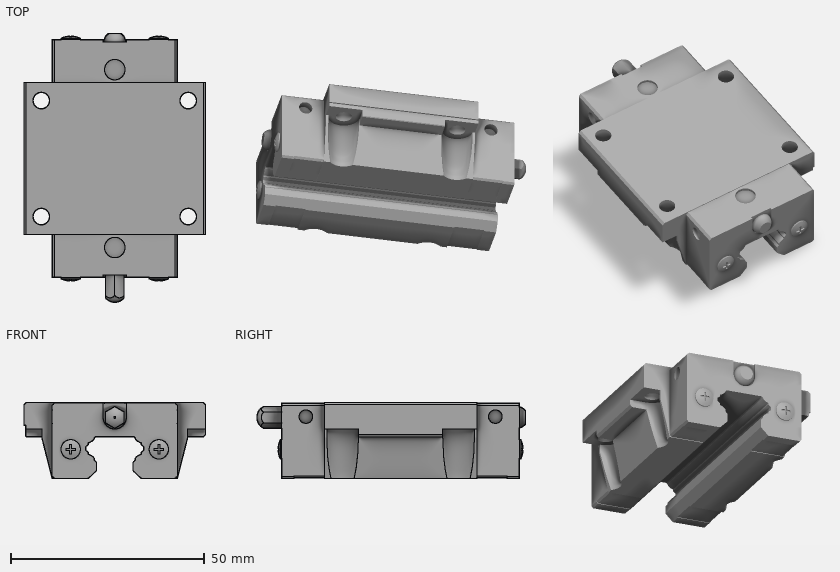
import cadquery as cq
import math


block_height = 19.7
block_length = 39.4
flange_half_width = 23.5
flange_bottom = 10.75
flange_chamfer = 0.6
reference_edge_bottom = 13.75
reference_relief = 0.42
relief_chamfer = 0.2
wall_half_width = 18.86
wall_taper_top = 10.5
base_half_width = 16.2

hole_x = 19.0
hole_y = 15.0
hole_diameter = 4.2
spotface_radius = 4.1
spotface_height = 12.75

slot_top = flange_bottom
slot_mid_height = 7.75
slot_top_corner = 0.25
neck_half_width = 4.7
neck_bottom = 2.05
neck_top = 4.15
mouth_half_width = 6.8
lip_half_width = 5.25
lip_offset = 2.55
bead_mid_half_width = 6.05
bead_mid_offset = 1.8
bead_end_half_width = 6.8
bead_end_offset = 1.45
groove_half_width = 7.5
groove_offset = 0.45
groove_edge_offset = 1.0
lip_bottom = 4.7

cap_length = 7.85
cap_bottom = 0.15
cap_top = 19.5
cap_top_chamfer = 0.6
cap_bottom_chamfer = 0.5
plate_thickness = 3.2
block_end = block_length / 2
cap_end = block_end + cap_length
plate_end = cap_end + plate_thickness

port_y = 23.0
port_diameter = 5.3
port_depth = 0.7
side_port_y = 24.5
side_port_z = 16.0
side_port_diameter = 3.5
side_port_depth = 2.2

recess_radius = 3.0
recess_depth = 0.6
fitting_z = 15.8
recess_floor = plate_end - recess_depth

nipple_across_flats = 4.9
nipple_sides = 6
nipple_half_side_angle = 180 / nipple_sides
nipple_tip = 37.2
nipple_dome_radius = 3.12
nipple_bore_diameter = 0.5
nipple_bore_depth = 1.0
plug_radius = 2.8
plug_tip = 32.36

screw_x = 11.4
screw_z = 7.55
screw_radius = 2.5
screw_rim = 0.35
screw_head_height = 0.95
screw_slot_length = 2.5
screw_slot_width = 0.5
screw_slot_depth = 0.5


def extrude_along_y(outline, y_start, y_end):
    """Extrude a closed XZ outline from y_start to y_end."""
    return outline.extrude(y_start - y_end).translate((0, y_start, 0))


def revolve_about_y(half_outline):
    """Revolve an outline of (radius, Y) points about the Y axis."""
    return half_outline.close().revolve(360, (0, 0, 0), (0, 1, 0))


def make_block():
    """Flanged block with tapered side walls and its four mounting holes."""
    relieved_x = -flange_half_width + reference_relief
    outline = (
        cq.Workplane("XZ")
        .moveTo(-base_half_width, 0)
        .lineTo(base_half_width, 0)
        .lineTo(wall_half_width, wall_taper_top)
        .lineTo(wall_half_width, flange_bottom)
        .lineTo(flange_half_width - flange_chamfer, flange_bottom)
        .lineTo(flange_half_width, flange_bottom + flange_chamfer)
        .lineTo(flange_half_width, block_height - flange_chamfer)
        .lineTo(flange_half_width - flange_chamfer, block_height)
        .lineTo(-flange_half_width + flange_chamfer, block_height)
        .lineTo(-flange_half_width, block_height - flange_chamfer)
        .lineTo(-flange_half_width, reference_edge_bottom)
        .lineTo(relieved_x, reference_edge_bottom)
        .lineTo(relieved_x, flange_bottom + relief_chamfer)
        .lineTo(relieved_x + relief_chamfer, flange_bottom)
        .lineTo(-wall_half_width, flange_bottom)
        .lineTo(-wall_half_width, wall_taper_top)
        .close()
    )
    block = extrude_along_y(outline, -block_end, block_end)
    for x_side in (-1, 1):
        for y_side in (-1, 1):
            block = block.cut(mounting_hole_tool(x_side, y_side))
    return block


def mounting_hole_tool(x_side, y_side):
    """Through hole, spotface below it, and the flange relief running out to the block end."""
    x = x_side * hole_x
    y = y_side * hole_y
    hole = cq.Workplane("XY").center(x, y).circle(hole_diameter / 2).extrude(block_height)
    spotface = cq.Workplane("XY").center(x, y).circle(spotface_radius).extrude(spotface_height)
    relief_width = flange_half_width - wall_half_width
    relief_length = block_end - hole_y + spotface_radius
    relief = (
        cq.Workplane("XY")
        .center(x_side * (wall_half_width + relief_width / 2), y_side * (block_end - relief_length / 2))
        .rect(relief_width, relief_length)
        .extrude(spotface_height)
    )
    return hole.union(spotface).union(relief)


def end_outline(bottom):
    """Cross-section shared by the end caps and end plates, standing on the given height."""
    return (
        cq.Workplane("XZ")
        .moveTo(base_half_width - cap_bottom_chamfer, bottom)
        .lineTo(base_half_width, bottom + cap_bottom_chamfer)
        .lineTo(base_half_width, cap_top - cap_top_chamfer)
        .lineTo(base_half_width - cap_top_chamfer, cap_top)
        .lineTo(-base_half_width + cap_top_chamfer, cap_top)
        .lineTo(-base_half_width, cap_top - cap_top_chamfer)
        .lineTo(-base_half_width, bottom + cap_bottom_chamfer)
        .lineTo(-base_half_width + cap_bottom_chamfer, bottom)
        .close()
    )


def recess_tool():
    """U-shaped recess at the -Y end, open at the top."""
    height = block_height - fitting_z
    bottom = cq.Workplane("XZ").center(0, fitting_z).circle(recess_radius)
    sides = cq.Workplane("XZ").center(0, fitting_z + height / 2).rect(2 * recess_radius, height)
    return extrude_along_y(bottom, -plate_end, -recess_floor).union(
        extrude_along_y(sides, -plate_end, -recess_floor)
    )


def screw():
    """Domed cross-head screw facing -Y, with its seat on Y = 0."""
    dome_height = screw_head_height - screw_rim
    dome_radius = (screw_radius**2 + dome_height**2) / (2 * dome_height)
    mid_radius = screw_radius / 2
    mid_y = -screw_head_height + dome_radius - math.sqrt(dome_radius**2 - mid_radius**2)
    head = revolve_about_y(
        cq.Workplane("XY")
        .lineTo(screw_radius, 0)
        .lineTo(screw_radius, -screw_rim)
        .threePointArc((mid_radius, mid_y), (0, -screw_head_height))
    )
    slot_floor = screw_slot_depth - screw_head_height
    for width, height in ((screw_slot_length, screw_slot_width), (screw_slot_width, screw_slot_length)):
        slot = extrude_along_y(cq.Workplane("XZ").rect(width, height), -screw_head_height, slot_floor)
        head = head.cut(slot)
    return head


def make_end():
    """Cap, plate and screws of the -Y end, before the rail slot is cut."""
    end = extrude_along_y(end_outline(cap_bottom), -cap_end, -block_end)
    end = end.union(extrude_along_y(end_outline(0), -plate_end, -cap_end), clean=False)
    end = end.cut(recess_tool(), clean=False)

    port = (
        cq.Workplane("XY", origin=(0, -port_y, cap_top - port_depth))
        .circle(port_diameter / 2)
        .extrude(port_depth)
    )
    end = end.cut(port, clean=False)
    for side in (-1, 1):
        side_port = (
            cq.Workplane("YZ", origin=(side * base_half_width, -side_port_y, side_port_z))
            .circle(side_port_diameter / 2)
            .extrude(-side * side_port_depth)
        )
        end = end.cut(side_port, clean=False)
        end = end.union(screw().translate((side * screw_x, -plate_end, screw_z)), clean=False)
    return end


def rail_slot():
    """Rail slot through the whole carriage, its +X half mirrored onto the -X side."""
    half = (
        cq.Workplane("XZ")
        .moveTo(0, 0)
        .lineTo(mouth_half_width, 0)
        .lineTo(neck_half_width, neck_bottom)
        .lineTo(neck_half_width, neck_top)
        .lineTo(lip_half_width, lip_bottom)
        .lineTo(lip_half_width, slot_mid_height - lip_offset)
        .threePointArc(
            (bead_mid_half_width, slot_mid_height - bead_mid_offset),
            (bead_end_half_width, slot_mid_height - bead_end_offset),
        )
        .lineTo(bead_end_half_width, slot_mid_height - groove_edge_offset)
        .lineTo(groove_half_width, slot_mid_height - groove_offset)
        .lineTo(groove_half_width, slot_mid_height + groove_offset)
        .lineTo(bead_end_half_width, slot_mid_height + groove_edge_offset)
        .lineTo(bead_end_half_width, slot_mid_height + bead_end_offset)
        .threePointArc(
            (bead_mid_half_width, slot_mid_height + bead_mid_offset),
            (lip_half_width, slot_mid_height + lip_offset),
        )
        .lineTo(lip_half_width, slot_top - slot_top_corner)
        .lineTo(lip_half_width - slot_top_corner, slot_top)
        .lineTo(0, slot_top)
        .close()
    )
    half_slot = extrude_along_y(half, -plate_end, plate_end)
    return half_slot.union(half_slot.mirror("YZ"))


def nose_envelope(radius):
    """Round bar from the recess floor to the nipple tip, with a spherical nose."""
    centre_y = -nipple_tip + nipple_dome_radius
    mid_radius = radius / 2
    return revolve_about_y(
        cq.Workplane("XY")
        .moveTo(0, -recess_floor)
        .lineTo(radius, -recess_floor)
        .lineTo(radius, centre_y - math.sqrt(nipple_dome_radius**2 - radius**2))
        .threePointArc(
            (mid_radius, centre_y - math.sqrt(nipple_dome_radius**2 - mid_radius**2)),
            (0, -nipple_tip),
        )
    )


def make_nipple():
    """Hexagonal grease nipple with a spherical nose, pointing to -Y."""
    across_corners = nipple_across_flats / math.cos(math.radians(nipple_half_side_angle))
    hexagon = cq.Workplane("XZ").polygon(nipple_sides, across_corners).extrude(nipple_tip)
    hexagon = hexagon.rotate((0, 0, 0), (0, 1, 0), nipple_half_side_angle)
    hexagon = hexagon.intersect(nose_envelope(across_corners / 2))
    bore = extrude_along_y(
        cq.Workplane("XZ").circle(nipple_bore_diameter / 2), -nipple_tip, -nipple_tip + nipple_bore_depth
    )
    return hexagon.cut(bore).translate((0, 0, fitting_z))


def make_plug():
    """Button plug at the +Y end: a sphere centred on the recess floor, cut flat at the tip."""
    ball = cq.Workplane("XY").sphere(plug_radius).translate((0, recess_floor, 0))
    bar = extrude_along_y(cq.Workplane("XZ").circle(plug_radius), recess_floor, plug_tip)
    return ball.intersect(bar).translate((0, 0, fitting_z))


front_end = make_end()
carriage = (
    make_block()
    .union(front_end, clean=False)
    .union(front_end.mirror("XZ"), clean=False)
    .cut(rail_slot(), clean=False)
)
result = carriage.union(make_nipple(), clean=False).union(make_plug(), clean=False)